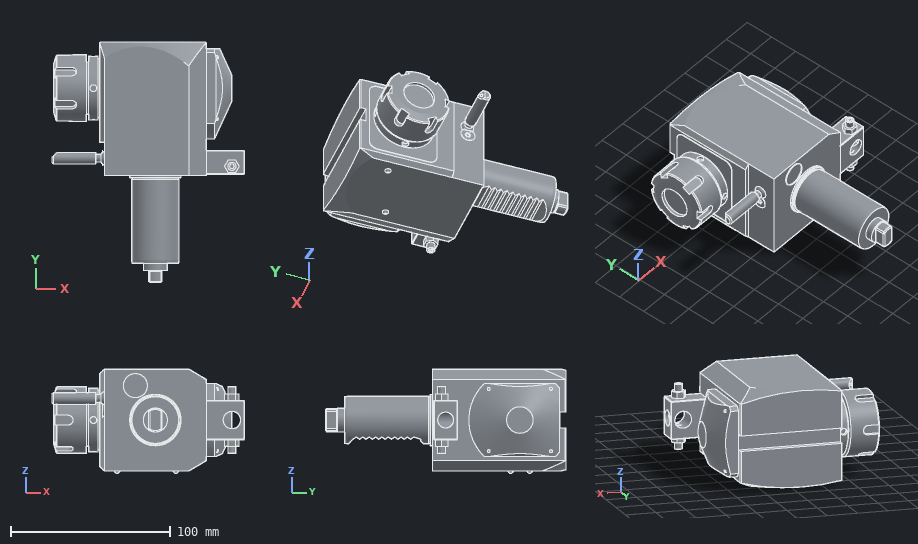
import cadquery as cq
import math


overall_length = 151.0

half_width = 32.0
half_height = 32.0
depth = 84.0
side_bevel_run = 11.0
side_bevel_rise = 6.5
face_x = -35.0
face_front = 21.0
face_bevel = abs(face_x) - half_width
crown_center_x = -9.0
crown_radius = 148.0
crown_half_height = 31.3
crown_slope = 0.25
rear_edge_chamfer = 0.6
keyway_width = 10.0
keyway_depth = 4.0

spindle_y = 55.0
panel_front, panel_rear = 32.5, 77.6
panel_half_height = 26.5
panel_corner = 5.5
panel_depth = 0.3
neck_radius = 18.7
ring_radius = 20.1
ring_back, ring_front = -36.0, -41.8
groove_radius = 16.5
nut_radius = 21.0
nut_back, nut_front = -43.3, -63.9
nut_face_radius = 15.1
nut_cone_end = -62.4
nut_cone_radius = 20.4
nut_land_start = -61.6
bore_radius = 10.3
bore_depth = 2.3
slot_count = 6
slot_width = 6.0
slot_floor_radius = 17.8
upper_slot_end = -49.5
slot_end = -51.6
ring_hole_radius = 2.1
ring_hole_depth = 2.3
ring_hole_count = 4

collar_radius = 16.2
collar_length = 1.5
collar_chamfer = 0.5
undercut_radius = 14.6
undercut_end = -2.4
shank_radius = 15.0
shank_end = -55.0
shank_chamfer_length = 1.8
shank_end_radius = 14.6
boss_radius = 7.5
boss_end = -59.5
tang_radius = 7.4
tang_width = 8.3
tang_end = depth - overall_length
tang_chamfer = 0.8
tang_core_radius = 3.0

tooth_count = 9
tooth_row_length = 32.0
tooth_pitch = tooth_row_length / (tooth_count - 1)
tooth_first_y = -13.6
tooth_tip_z = -12.1
tooth_root_z = -10.7
tooth_relief_start = -7.2
tooth_relief_wall = 1.2
tooth_relief_end = -48.5

pipe_y, pipe_z = 11.0, 13.6
pipe_radius = 7.4 / 2
pipe_tip, pipe_back = -65.0, -37.3
pipe_back_chamfer = 0.3
pipe_chamfer = 0.9
pipe_bevel = 3.3
pipe_outlet_radius = 0.9
pipe_outlet_depth = 2.3
pipe_neck_radius = 5.0 / 2
ball_tip = -34.1
ball_radius = 4.2
ball_shoulder = (-33.4, 3.6)
screw_z = 6.3
screw_head_x = -33.2
screw_head_radius = 4.7
socket_size = 3.0
socket_depth = 0.9

cover_radius = 32.0
cover_half_height = 23.0
cover_rear = 79.7
cover_rim_x = 37.1
cover_tip_x = 48.0
cover_tip_radius = 8.3
cover_bevel_x = 38.0
cover_bevel_slope = 0.46
cover_hole_radius = 0.9
cover_hole_circle = 27.6
cover_hole_floor_x = 37.8
cover_hole_count = 4

bracket_end = 56.0
bracket_front, bracket_rear = 0.9, 15.9
bracket_half_height = 12.4
bracket_chamfer = 0.5
clamp_x = 48.0
bracket_hole_radius = 5.5
cross_hole_radius = 5.0
clamp_y = 5.9
nut_size = 8.0
nut_height = 4.1
clamp_screw_radius = 2.5
clamp_screw_top = 21.0
clamp_screw_tip = 5.3
clamp_socket_size = 2.7
clamp_socket_depth = 1.5

plug_x, plug_z = -12.5, 21.6
plug_radius = 7.5
plug_depth = 0.6
nozzles = [(-24.0, 61.2), (12.8, 49.2)]
nozzle_radius = 2.0
nozzle_tip_radius = 0.6
nozzle_height = 1.5

overlap = 0.8
margin = 7.5


def box(x1, x2, y1, y2, z1, z2):
    return cq.Workplane("XY").box(x2 - x1, y2 - y1, z2 - z1, centered=False).translate((x1, y1, z1))


def turned(profile, origin, axis, up):
    """Solid of revolution of (distance along axis, radius) points."""
    plane = cq.Plane(origin=origin, xDir=axis, normal=up)
    points = [(profile[0][0], 0)] + profile + [(profile[-1][0], 0)]
    return cq.Workplane(plane).polyline(points).close().revolve(360, (0, 0), (1, 0))


def along_x(profile, y, z):
    return turned(profile, (0, y, z), (1, 0, 0), (0, 0, 1))


def along_y(profile, x, z):
    return turned(profile, (x, 0, z), (0, 1, 0), (0, 0, 1))


def hexagon(size):
    """Diameter over the corners of a hexagon with the given size across flats."""
    return size / math.cos(math.pi / 6)


def housing():
    bevel_x = half_width - side_bevel_run
    bevel_z = half_height - side_bevel_rise
    outline = [
        (-half_width, -half_height),
        (bevel_x, -half_height),
        (half_width, -bevel_z),
        (half_width, bevel_z),
        (bevel_x, half_height),
        (-half_width, half_height),
    ]
    block = cq.Workplane("XZ").polyline(outline).close().extrude(-depth)

    face_z = half_height - face_bevel
    face_outline = [
        (-half_width, -half_height),
        (-half_width, half_height),
        (face_x, face_z),
        (face_x, -face_z),
    ]
    face = (
        cq.Workplane("XZ", origin=(0, face_front, 0))
        .polyline(face_outline)
        .close()
        .extrude(face_front - depth)
    )
    body = block.union(face)
    body = body.faces(">Y").edges("|Z").chamfer(rear_edge_chamfer)

    crown_axis_z = crown_half_height - crown_radius
    front_radius = crown_radius + crown_slope * depth
    crown = along_y([(0, front_radius), (depth, crown_radius)], crown_center_x, crown_axis_z)
    body = body.intersect(crown).intersect(crown.mirror("XY"))

    reach = half_width + margin
    keyway = box(
        -reach, reach, depth - keyway_depth, depth + margin, -keyway_width / 2, keyway_width / 2
    )
    plug = along_y([(0, plug_radius), (plug_depth, plug_radius)], plug_x, plug_z)
    panel = box(
        face_x, face_x + panel_depth, panel_front, panel_rear, -panel_half_height, panel_half_height
    )
    panel = panel.edges("|X").fillet(panel_corner)
    return body.cut(keyway).cut(plug).cut(panel)


def nut_slot(end_x):
    """Cutter for one round-ended slot on top of the nut, open at the nut face."""
    center_x = end_x - slot_width / 2
    half_slot = slot_width / 2
    cutter = box(
        nut_front - margin,
        center_x,
        spindle_y - half_slot,
        spindle_y + half_slot,
        slot_floor_radius,
        slot_floor_radius + margin,
    )
    round_end = (
        cq.Workplane("XY", origin=(center_x, spindle_y, slot_floor_radius))
        .circle(half_slot)
        .extrude(margin)
    )
    return cutter.union(round_end)


def about_spindle(body, angle):
    return body.rotate((0, spindle_y, 0), (1, spindle_y, 0), angle)


def spindle():
    profile = [
        (face_x + overlap, neck_radius),
        (ring_back, neck_radius),
        (ring_back, ring_radius),
        (ring_front, ring_radius),
        (ring_front, groove_radius),
        (nut_back, groove_radius),
        (nut_back, nut_radius),
        (nut_land_start, nut_radius),
        (nut_cone_end, nut_cone_radius),
        (nut_front, nut_face_radius),
    ]
    body = along_x(profile, spindle_y, 0)
    bore = along_x(
        [(nut_front, bore_radius), (nut_front + bore_depth, bore_radius)], spindle_y, 0
    )
    body = body.cut(bore)

    slot_step = 360 / slot_count
    for index in range(slot_count):
        angle = slot_step * (index + 0.5)
        is_upper = index in (0, slot_count - 1)
        end_x = upper_slot_end if is_upper else slot_end
        body = body.cut(about_spindle(nut_slot(end_x), angle))

    ring_middle = (ring_back + ring_front) / 2
    hole = (
        cq.Workplane("XY", origin=(ring_middle, spindle_y, ring_radius - ring_hole_depth))
        .circle(ring_hole_radius)
        .extrude(margin)
    )
    for index in range(ring_hole_count):
        body = body.cut(about_spindle(hole, 360 / ring_hole_count * index))
    return body


def tooth_cutter():
    """Sawtooth side profile swept across the underside of the shank."""
    tooth_height = tooth_root_z - tooth_tip_z
    bottom = -shank_radius - margin
    run = tooth_tip_z - bottom
    wall_bottom = tooth_tip_z - tooth_relief_wall
    points = [
        (tooth_relief_start + wall_bottom - bottom, bottom),
        (tooth_relief_start, wall_bottom),
        (tooth_relief_start, tooth_tip_z),
    ]
    for index in range(tooth_count):
        tip_y = tooth_first_y - index * tooth_pitch
        points.append((tip_y + tooth_pitch / 2, tooth_root_z))
        points.append((tip_y, tooth_tip_z))
    points.append((tip_y - tooth_pitch / 2, tooth_root_z))
    points.append((tooth_relief_end - tooth_height, tooth_tip_z))
    points.append((tooth_relief_end - tooth_height - run, bottom))
    return cq.Workplane("YZ").polyline(points).close().extrude(shank_radius + margin, both=True)


def shank():
    profile = [
        (overlap, undercut_radius),
        (undercut_end, undercut_radius),
        (undercut_end, shank_radius),
        (shank_end + shank_chamfer_length, shank_radius),
        (shank_end, shank_end_radius),
        (shank_end, boss_radius),
        (boss_end, boss_radius),
    ]
    body = along_y(profile, 0, 0).cut(tooth_cutter())
    collar = along_y(
        [
            (overlap, collar_radius),
            (collar_chamfer - collar_length, collar_radius),
            (-collar_length, collar_radius - collar_chamfer),
        ],
        0,
        0,
    )
    tang = along_y([(boss_end, tang_radius), (tang_end, tang_radius)], 0, 0)
    flats = box(-tang_width / 2, tang_width / 2, tang_end, boss_end, -tang_radius, tang_radius)
    tang = tang.intersect(flats).edges().chamfer(tang_chamfer)
    core = along_y(
        [(boss_end - overlap, tang_core_radius), (boss_end + overlap, tang_core_radius)], 0, 0
    )
    return body.union(collar).union(tang).union(core)


def coolant_pipe():
    pipe = along_x(
        [
            (pipe_tip, pipe_radius - pipe_chamfer),
            (pipe_tip + pipe_chamfer, pipe_radius),
            (pipe_back - pipe_back_chamfer, pipe_radius),
            (pipe_back, pipe_radius - pipe_back_chamfer),
            (pipe_back, pipe_neck_radius),
            (ball_tip + overlap, pipe_neck_radius),
        ],
        pipe_y,
        pipe_z,
    )
    ball = (
        cq.Workplane("XY", origin=(0, pipe_y, pipe_z))
        .moveTo(-half_width + overlap, 0)
        .lineTo(-half_width + overlap, ball_radius)
        .lineTo(-half_width, ball_radius)
        .threePointArc(ball_shoulder, (ball_tip, pipe_neck_radius))
        .lineTo(ball_tip, 0)
        .close()
        .revolve(360, (0, 0), (1, 0))
    )
    bevel_points = [
        (pipe_tip, pipe_radius - pipe_bevel),
        (pipe_tip + pipe_bevel, pipe_radius),
        (pipe_tip, pipe_radius),
    ]
    bevel = (
        cq.Workplane("XY", origin=(0, pipe_y, pipe_z))
        .polyline(bevel_points)
        .close()
        .extrude(pipe_radius, both=True)
    )
    outlet_start = (pipe_tip + pipe_bevel / 2, pipe_y + pipe_radius - pipe_bevel / 2, pipe_z)
    outlet = turned(
        [(0, pipe_outlet_radius), (pipe_outlet_depth, pipe_outlet_radius)],
        outlet_start,
        (1, -1, 0),
        (0, 0, 1),
    )
    return pipe.union(ball).cut(bevel).cut(outlet)


def countersunk_screw():
    wall_radius = screw_head_radius - (abs(screw_head_x) - half_width)
    head = along_x(
        [
            (screw_head_x, screw_head_radius),
            (-half_width, wall_radius),
            (-half_width + overlap, wall_radius),
        ],
        pipe_y,
        screw_z,
    )
    socket = (
        cq.Workplane("YZ", origin=(screw_head_x, pipe_y, screw_z))
        .polygon(6, hexagon(socket_size))
        .extrude(socket_depth)
    )
    return head.cut(socket)


def cover():
    body = along_x(
        [
            (half_width - overlap, cover_radius),
            (cover_rim_x, cover_radius),
            (cover_tip_x, cover_tip_radius),
        ],
        spindle_y,
        0,
    )
    bevel_end_z = cover_half_height - cover_bevel_slope * (cover_tip_x - cover_bevel_x)
    outline = [
        (half_width - overlap, -cover_half_height),
        (cover_bevel_x, -cover_half_height),
        (cover_tip_x, -bevel_end_z),
        (cover_tip_x, bevel_end_z),
        (cover_bevel_x, cover_half_height),
        (half_width - overlap, cover_half_height),
    ]
    envelope = cq.Workplane("XZ").polyline(outline).close().extrude(-cover_rear)
    body = body.intersect(envelope)

    hole = along_x(
        [(cover_hole_floor_x, cover_hole_radius), (cover_tip_x, cover_hole_radius)],
        spindle_y,
        cover_hole_circle,
    )
    hole_step = 360 / cover_hole_count
    for index in range(cover_hole_count):
        body = body.cut(about_spindle(hole, hole_step * (index + 0.5)))
    return body


def bracket():
    body = box(
        half_width - overlap,
        bracket_end,
        bracket_front,
        bracket_rear,
        -bracket_half_height,
        bracket_half_height,
    )
    body = body.edges("not(<X)").chamfer(bracket_chamfer)
    hole = along_y(
        [(0, bracket_hole_radius), (bracket_rear + margin, bracket_hole_radius)], clamp_x, 0
    )
    cross_hole = along_x(
        [(clamp_x, cross_hole_radius), (bracket_end, cross_hole_radius)],
        (bracket_front + bracket_rear) / 2,
        0,
    )
    nut = (
        cq.Workplane("XY", origin=(clamp_x, clamp_y, bracket_half_height))
        .polygon(6, hexagon(nut_size))
        .extrude(nut_height)
    )
    screw = (
        cq.Workplane("XY", origin=(clamp_x, clamp_y, clamp_screw_tip))
        .circle(clamp_screw_radius)
        .extrude(clamp_screw_top - clamp_screw_tip)
        .faces(">Z")
        .workplane()
        .polygon(6, hexagon(clamp_socket_size))
        .cutBlind(-clamp_socket_depth)
    )
    clamp = nut.union(screw)
    return body.cut(hole).cut(cross_hole).union(clamp).union(clamp.mirror("XY"))


def nozzle(x, y):
    profile = [
        (half_height - overlap, nozzle_radius),
        (half_height, nozzle_radius),
        (half_height + nozzle_height, nozzle_tip_radius),
    ]
    return turned(profile, (x, y, 0), (0, 0, -1), (1, 0, 0))


result = housing()
for part in (spindle(), shank(), coolant_pipe(), countersunk_screw(), cover(), bracket()):
    result = result.union(part)
for x, y in nozzles:
    result = result.union(nozzle(x, y))